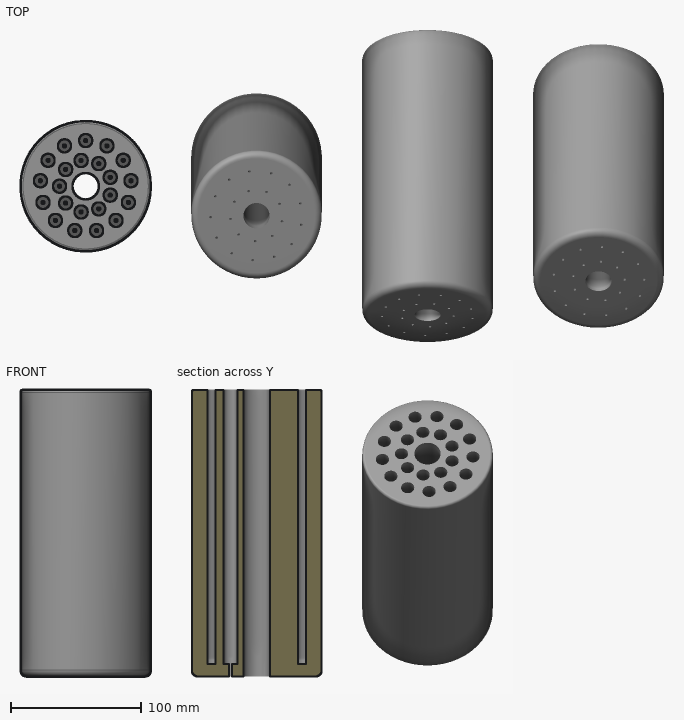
import cadquery as cq

body_height = 220.0
body_diameter = 100.0
top_edge_radius = 2.0
bottom_edge_radius = 5.0

bore_diameter = 20.0

pocket_diameter = 10.1
pocket_floor_thickness = 10.1
drain_diameter = 2.0

outer_ring_radius = 35.0
outer_ring_count = 13
outer_ring_start_angle = 90
inner_ring_radius = 20.0
inner_ring_count = 9
inner_ring_start_angle = 180


def make_body():
    """Solid cylinder with rounded end edges."""
    body = cq.Workplane("XY").circle(body_diameter / 2).extrude(body_height)
    body = body.faces(">Z").edges().fillet(top_edge_radius)
    return body.faces("<Z").edges().fillet(bottom_edge_radius)


def cut_bore(body):
    """Open the bore through the full height."""
    return body.cut(cq.Workplane("XY").circle(bore_diameter / 2).extrude(body_height))


def cut_pocket_ring(body, ring_radius, count, start_angle):
    """Cut one ring of evenly spaced pockets with their drain holes."""
    drains = (
        cq.Workplane("XY")
        .polarArray(ring_radius, start_angle, 360, count)
        .circle(drain_diameter / 2)
        .extrude(body_height)
    )
    pockets = (
        cq.Workplane("XY", origin=(0, 0, pocket_floor_thickness))
        .polarArray(ring_radius, start_angle, 360, count)
        .circle(pocket_diameter / 2)
        .extrude(body_height - pocket_floor_thickness)
    )
    return body.cut(drains).cut(pockets)


result = cut_bore(make_body())
result = cut_pocket_ring(result, outer_ring_radius, outer_ring_count, outer_ring_start_angle)
result = cut_pocket_ring(result, inner_ring_radius, inner_ring_count, inner_ring_start_angle)